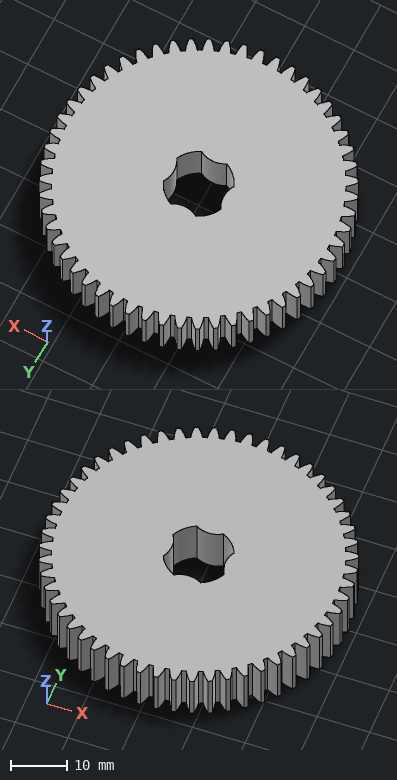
import cadquery as cq
import math

outer_diameter = 57.0
thickness = 9.4
tooth_count = 55
pressure_angle = math.radians(20)
dedendum_factor = 1.25

bore_radius = 6.3
lobe_count = 4
lobe_radius = 4.8
lobe_tip_distance = 5.1

outer_radius = outer_diameter / 2
module = outer_diameter / (tooth_count + 2)
pitch_radius = module * tooth_count / 2
root_radius = pitch_radius - dedendum_factor * module
base_radius = pitch_radius * math.cos(pressure_angle)
tooth_pitch_angle = 2 * math.pi / tooth_count
flank_points = 5


def polar(radius, angle):
    return (radius * math.cos(angle), radius * math.sin(angle))


def involute(angle):
    return math.tan(angle) - angle


def tooth_half_angle(radius):
    """Half the angle a tooth covers, at a radius between the root and the tip."""
    local_pressure_angle = math.acos(base_radius / radius)
    return tooth_pitch_angle / 4 + involute(pressure_angle) - involute(local_pressure_angle)


def make_gear_blank():
    """Spur gear with involute flanks and one tooth centred on +X."""
    flank_step = (outer_radius - root_radius) / (flank_points - 1)
    flank_radii = [root_radius + i * flank_step for i in range(flank_points)]
    root_half_angle = tooth_half_angle(root_radius)

    outline = cq.Workplane("XY").moveTo(*polar(root_radius, -root_half_angle))
    for tooth in range(tooth_count):
        center = tooth * tooth_pitch_angle
        rising = [polar(r, center - tooth_half_angle(r)) for r in flank_radii]
        falling = [polar(r, center + tooth_half_angle(r)) for r in reversed(flank_radii)]
        gap_middle = polar(root_radius, center + tooth_pitch_angle / 2)
        next_tooth = polar(root_radius, center + tooth_pitch_angle - root_half_angle)

        outline = outline.spline(rising[1:], includeCurrent=True)
        outline = outline.threePointArc(polar(outer_radius, center), falling[0])
        outline = outline.spline(falling[1:], includeCurrent=True)
        outline = outline.threePointArc(gap_middle, next_tooth)
    return outline.close().extrude(thickness)


def make_bore():
    """Round through bore narrowed by four convex lobes."""
    lobe_center_distance = lobe_tip_distance + lobe_radius
    bore = cq.Workplane("XY").circle(bore_radius).extrude(thickness)
    lobes = (
        cq.Workplane("XY")
        .polarArray(lobe_center_distance, 0, 360, lobe_count)
        .circle(lobe_radius)
        .extrude(thickness)
    )
    return bore.cut(lobes)


result = make_gear_blank().cut(make_bore())